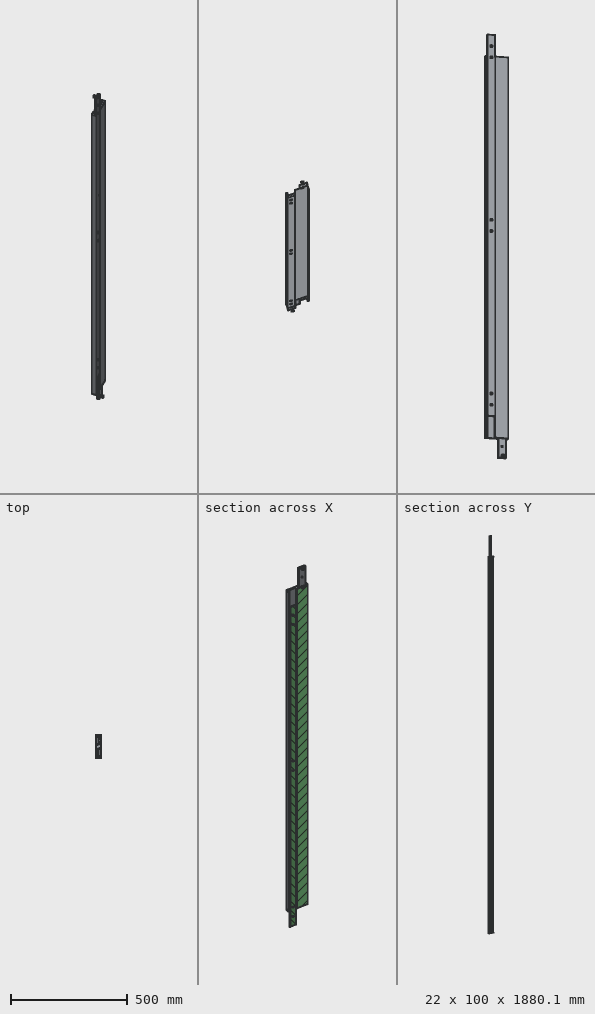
import cadquery as cq

TOTAL_HEIGHT = 1880.12
BEAM_THICKNESS = 22.0
BEAM_WIDTH = 100.0

BEAM_LENGTH = 1700.0
BEAM_CENTRE_Z = -5.5
ACCESS_HOLE_DIAMETER = 13.0

RAIL_WIDTH = 34.0
RAIL_THICKNESS = 10.0
CHANNEL_DEPTH = 13.0
RAIL_LENGTH = 1700.0
RAIL_CENTRE_Y = 25.5
RACEWAY_DIAMETER = 4.0

HOLE_DIAMETER = 6.0
COUNTERSINK_DIAMETER = 10.0
COUNTERSINK_ANGLE = 90.0
HOLE_PITCH = 50.0
HOLE_GROUP_PITCH = 775.0
HOLE_GROUP_COUNT = 3
HOLES_PER_GROUP = 2
FIRST_HOLE_FROM_END = 51.0

STUD_FROM_END = 6.0
STUD_SHANK_DIAMETER = 10.0
STUD_HEAD_DIAMETER = 12.0
STUD_HEAD_THICKNESS = 4.0
STUD_SOCKET_DIAMETER = 6.0
STUD_SOCKET_DEPTH = 3.0

FACE_X = BEAM_THICKNESS / 2
RAIL_END_Z = -TOTAL_HEIGHT / 2
STUD_Z = RAIL_END_Z + STUD_FROM_END
RAIL_INNER_X = RAIL_THICKNESS - FACE_X
HOLE_HEIGHTS = [
    RAIL_END_Z + FIRST_HOLE_FROM_END + group * HOLE_GROUP_PITCH + hole * HOLE_PITCH
    for group in range(HOLE_GROUP_COUNT)
    for hole in range(HOLES_PER_GROUP)
]


def cylinder_along_x(diameter, start_x, end_x, y, z):
    return cq.Workplane("YZ", origin=(start_x, y, z)).circle(diameter / 2).extrude(end_x - start_x)


def make_raceways(length):
    """Two round ball tracks along Z, from -length / 2 to length / 2, on the lower rail's side faces."""
    track_x = RAIL_THICKNESS / 2 - FACE_X
    track_y = [RAIL_CENTRE_Y + side * RAIL_WIDTH / 2 for side in (-1, 1)]
    points = [(track_x, y) for y in track_y]
    return cq.Workplane("XY").pushPoints(points).circle(RACEWAY_DIAMETER / 2).extrude(length / 2, both=True)


def make_rail():
    """Rail on the -X face, with its stop stud at the lower end."""
    rail = cq.Workplane("XY").box(RAIL_THICKNESS, RAIL_WIDTH, RAIL_LENGTH, centered=(False, True, False))
    rail = rail.translate((-FACE_X, RAIL_CENTRE_Y, RAIL_END_Z))
    rail = rail.cut(make_raceways(TOTAL_HEIGHT))
    rail = (
        rail.faces("<X")
        .workplane(origin=(-FACE_X, RAIL_CENTRE_Y, 0))
        .pushPoints([(0, z) for z in HOLE_HEIGHTS])
        .cskHole(HOLE_DIAMETER, COUNTERSINK_DIAMETER, COUNTERSINK_ANGLE)
    )
    head_start_x = FACE_X - STUD_HEAD_THICKNESS
    shank = cylinder_along_x(STUD_SHANK_DIAMETER, RAIL_INNER_X, FACE_X, RAIL_CENTRE_Y, STUD_Z)
    head = cylinder_along_x(STUD_HEAD_DIAMETER, head_start_x, FACE_X, RAIL_CENTRE_Y, STUD_Z)
    socket = cylinder_along_x(STUD_SOCKET_DIAMETER, FACE_X - STUD_SOCKET_DEPTH, FACE_X, RAIL_CENTRE_Y, STUD_Z)
    return rail.union(shank).union(head).cut(socket)


def make_beam():
    """S-shaped beam: one open channel for the lower rail on -X, one for the upper rail on +X."""
    beam = cq.Workplane("XY").box(BEAM_THICKNESS, BEAM_WIDTH, BEAM_LENGTH)
    channel = cq.Workplane("XY").box(CHANNEL_DEPTH, RAIL_WIDTH, BEAM_LENGTH)
    channel = channel.translate((CHANNEL_DEPTH / 2 - FACE_X, RAIL_CENTRE_Y, 0))
    channel = channel.union(make_raceways(BEAM_LENGTH))
    for angle in (0, 180):
        beam = beam.cut(channel.rotate((0, 0, 0), (0, 0, 1), angle))
    beam = beam.translate((0, 0, BEAM_CENTRE_Z))
    access_z = -HOLE_HEIGHTS[1]
    return beam.cut(cylinder_along_x(ACCESS_HOLE_DIAMETER, -FACE_X, FACE_X, -RAIL_CENTRE_Y, access_z))


beam = make_beam()
lower_rail = make_rail()
upper_rail = make_rail().rotate((0, 0, 0), (0, 0, 1), 180).mirror("XY")
result = cq.Compound.makeCompound([beam.val(), lower_rail.val(), upper_rail.val()])